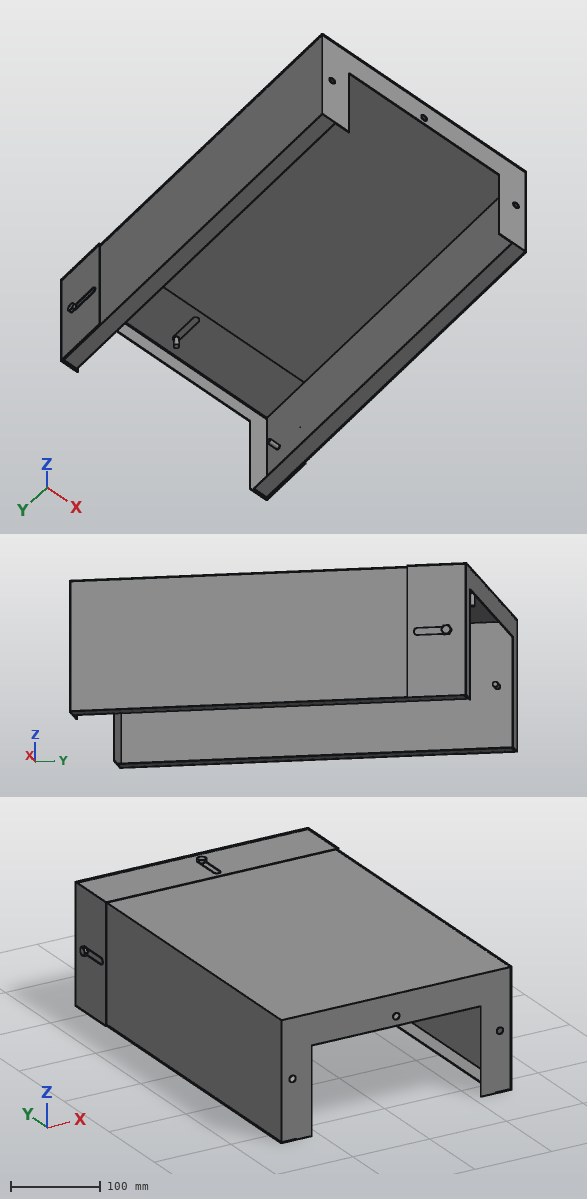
import cadquery as cq
import math

sheet = 1.0
total_length = 454.0

housing_width = 300.0
housing_height = 150.7
front_flange = 40.0
bottom_lip = 20.0
front_hole_diameter = 8.0
side_hole_inset = 15.0
top_hole_drop = 28.0

sleeve_length = 67.5
back_flange = 25.0
slot_width = 8.0
slot_travel = 33.5
side_clearance = 0.5
back_clearance = 2.0

screw_from_back = 22.2
shank_diameter = 6.0
shank_length = 16.0
head_across_flats = 10.0
head_height = 4.0
bevel_circle = 9.5
bevel_angle = 30

sleeve_inside = total_length - sheet
housing_length = sleeve_inside - back_clearance
sleeve_width = housing_width + 2 * (side_clearance + sheet)
sleeve_height = housing_height + sheet
sleeve_front = total_length - sleeve_length
screw_y = total_length - screw_from_back
side_screw_z = housing_height / 2
head_across_corners = head_across_flats / math.cos(math.radians(30))

screw_places = [
    (cq.Vector(0, screw_y, sleeve_height), cq.Vector(0, 0, 1)),
    (cq.Vector(-sleeve_width / 2, screw_y, side_screw_z), cq.Vector(-1, 0, 0)),
    (cq.Vector(sleeve_width / 2, screw_y, side_screw_z), cq.Vector(1, 0, 0)),
]


def block(width, height, y_start, y_end):
    """Box centred on X = 0 and standing on Z = 0."""
    return cq.Workplane("XY").box(
        width, y_end - y_start, height, centered=(True, False, False)
    ).translate((0, y_start, 0))


def screw_plane(place, outward):
    """Work plane on the sleeve surface at a screw, with its local X along Y."""
    return cq.Workplane(cq.Plane(origin=place, xDir=(0, 1, 0), normal=outward))


def make_shank(place, outward):
    return screw_plane(place, outward).circle(shank_diameter / 2).extrude(-shank_length)


def make_screw(place, outward):
    """Hexagon-head screw with two head corners pointing along Y."""
    head = screw_plane(place, outward).polygon(6, head_across_corners).extrude(head_height)

    top_radius = bevel_circle / 2
    base_radius = top_radius + head_height / math.tan(math.radians(bevel_angle))
    cone = cq.Solid.makeCone(base_radius, top_radius, head_height, place, outward)
    return head.intersect(cq.Workplane(cone)).union(make_shank(place, outward))


def make_housing():
    """Sheet-metal channel with a front flange, bottom lips and an open back."""
    inner_width = housing_width - 2 * sheet
    housing = block(housing_width, housing_height, 0, housing_length)
    housing = housing.cut(
        block(inner_width, housing_height - 2 * sheet, sheet, housing_length).translate((0, 0, sheet))
    )

    housing = housing.cut(block(housing_width - 2 * bottom_lip, sheet, sheet, housing_length))

    housing = housing.cut(
        block(housing_width - 2 * front_flange, housing_height - front_flange, 0, sheet)
    )

    side_hole_x = housing_width / 2 - side_hole_inset
    hole_centres = [
        (-side_hole_x, side_screw_z),
        (side_hole_x, side_screw_z),
        (0, housing_height - top_hole_drop),
    ]
    front_holes = (
        cq.Workplane("XZ").pushPoints(hole_centres).circle(front_hole_diameter / 2).extrude(-sheet)
    )
    housing = housing.cut(front_holes)

    for place, outward in screw_places:
        housing = housing.cut(make_shank(place, outward))
    return housing


def make_sleeve():
    """Cover around the back of the housing, with a back flange and three slots."""
    sleeve = block(sleeve_width, sleeve_height, sleeve_front, total_length)
    sleeve = sleeve.cut(
        block(sleeve_width - 2 * sheet, sleeve_height - sheet, sleeve_front, sleeve_inside)
    )

    sleeve = sleeve.cut(
        block(
            sleeve_width - 2 * back_flange, sleeve_height - back_flange, sleeve_inside, total_length
        )
    )

    for place, outward in screw_places:
        slot = (
            screw_plane(place, outward)
            .center(-slot_travel / 2, 0)
            .slot2D(slot_travel + slot_width, slot_width)
            .extrude(-sheet)
        )
        sleeve = sleeve.cut(slot)
    return sleeve


housing = make_housing()
sleeve = make_sleeve()
screws = [make_screw(place, outward) for place, outward in screw_places]

result = cq.Compound.makeCompound(
    [housing.val(), sleeve.val(), *[screw.val() for screw in screws]]
)